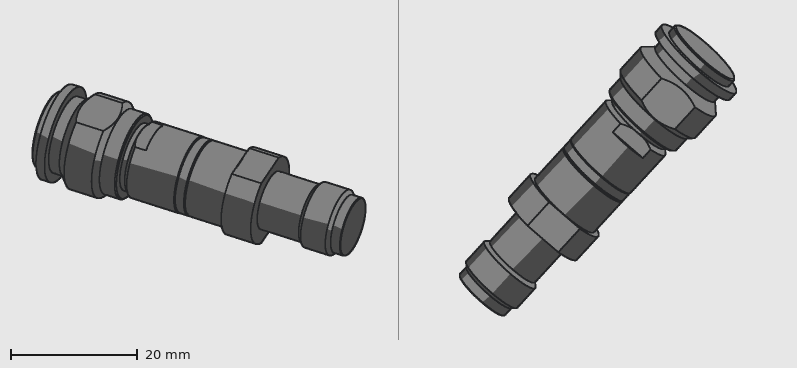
import cadquery as cq

TOTAL_LENGTH = 53.0

NOSE_CHAMFER = 0.2
NOSE_RADIUS = 6.35
FLANGE_START = 1.5
FLANGE_END = 2.95
FLANGE_DIAMETER = 15.85
GRIP_START = 4.8
GRIP_RADIUS = 8.0
GRIP_CONE_LENGTH = 1.6
GRIP_LENGTH = 4.75
GRIP_FLAT_HEIGHT = 14.35
COLLAR_START = 12.15
COLLAR_RADIUS = 7.1
NUT_END = 15.0
NUT_END_CHAMFER = 0.2

NECK_RADIUS = 5.6
NECK_END = 15.85
SHOULDER_END = 16.55
FRONT_RADIUS = 6.35
FRONT_END = 24.9
FRONT_CHAMFER = 0.15
FRONT_FLAT_HEIGHT = 11.0
FRONT_FLAT_END = 18.4

REAR_RADIUS = 6.3
GROOVE_START = 26.45
GROOVE_DEPTH = 0.25
WRENCH_START = 33.4
WRENCH_END = 38.55
WRENCH_RADIUS = 7.25
WRENCH_FLAT_HEIGHT = 13.0
SHANK_RADIUS = 4.8
BEAD_START = 45.75
BEAD_END = 51.3
BEAD_RADIUS = 5.45
TAIL_CHAMFER = 0.1


def turned(profile):
    """Solid of revolution about X; the profile lists (x, radius) from the nose side to the tail side."""
    first_x = profile[0][0]
    last_x = profile[-1][0]
    outline = [(first_x, 0), *profile, (last_x, 0)]
    return cq.Workplane("XY").polyline(outline).close().revolve(360, (0, 0, 0), (1, 0, 0))


def cut_flats(body, start, end, height, radius):
    """Cut a pair of flats facing +Z and -Z, `height` apart, between two stations along X."""
    length = end - start
    for side in (1, -1):
        cutter = cq.Workplane("XY").box(length, 2 * radius, radius).translate(
            ((start + end) / 2, 0, side * (height + radius) / 2)
        )
        body = body.cut(cutter)
    return body


def make_coupling_nut():
    front_cone_end = GRIP_START + GRIP_CONE_LENGTH
    grip_end = front_cone_end + GRIP_LENGTH
    nut = turned([
        (0, NOSE_RADIUS - NOSE_CHAMFER),
        (NOSE_CHAMFER, NOSE_RADIUS),
        (FLANGE_START, NOSE_RADIUS),
        (FLANGE_START, FLANGE_DIAMETER / 2),
        (FLANGE_END, FLANGE_DIAMETER / 2),
        (FLANGE_END, NOSE_RADIUS),
        (GRIP_START, NOSE_RADIUS),
        (front_cone_end, GRIP_RADIUS),
        (grip_end, GRIP_RADIUS),
        (COLLAR_START, COLLAR_RADIUS),
        (NUT_END - NUT_END_CHAMFER, COLLAR_RADIUS),
        (NUT_END, COLLAR_RADIUS - NUT_END_CHAMFER),
    ])
    return cut_flats(nut, GRIP_START, COLLAR_START, GRIP_FLAT_HEIGHT, GRIP_RADIUS)


def make_front_body():
    body = turned([
        (NUT_END, NECK_RADIUS),
        (NECK_END, NECK_RADIUS),
        (SHOULDER_END, FRONT_RADIUS),
        (FRONT_END - FRONT_CHAMFER, FRONT_RADIUS),
        (FRONT_END, FRONT_RADIUS - FRONT_CHAMFER),
    ])
    return cut_flats(body, NECK_END, FRONT_FLAT_END, FRONT_FLAT_HEIGHT, FRONT_RADIUS)


def make_rear_body():
    bead_height = BEAD_RADIUS - SHANK_RADIUS
    body = turned([
        (FRONT_END, REAR_RADIUS),
        (GROOVE_START, REAR_RADIUS),
        (GROOVE_START, REAR_RADIUS - GROOVE_DEPTH),
        (GROOVE_START + GROOVE_DEPTH, REAR_RADIUS),
        (WRENCH_START, REAR_RADIUS),
        (WRENCH_START, WRENCH_RADIUS),
        (WRENCH_END, WRENCH_RADIUS),
        (WRENCH_END, SHANK_RADIUS),
        (BEAD_START, SHANK_RADIUS),
        (BEAD_START + bead_height, BEAD_RADIUS),
        (BEAD_END - bead_height, BEAD_RADIUS),
        (BEAD_END, SHANK_RADIUS),
        (TOTAL_LENGTH - TAIL_CHAMFER, SHANK_RADIUS),
        (TOTAL_LENGTH, SHANK_RADIUS - TAIL_CHAMFER),
    ])
    return cut_flats(body, WRENCH_START, WRENCH_END, WRENCH_FLAT_HEIGHT, WRENCH_RADIUS)


coupling_nut = make_coupling_nut()
front_body = make_front_body()
rear_body = make_rear_body()

result = cq.Compound.makeCompound([coupling_nut.val(), front_body.val(), rear_body.val()])